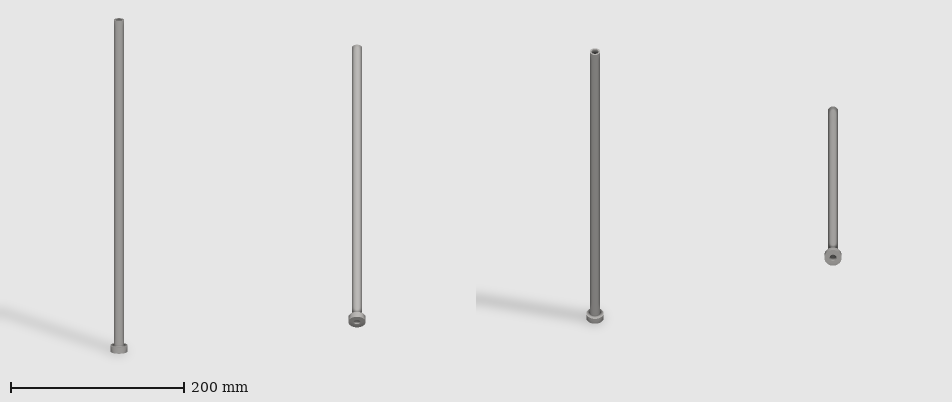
import cadquery as cq
import math

total_length = 400.0
head_diameter = 20.0
head_height = 7.0

tube_diameter = 12.0
bore_diameter = 8.0
root_fillet_radius = 1.0


def make_outer_body():
    """Headed tube, with a fillet where the tube meets the head."""
    head_radius = head_diameter / 2
    tube_radius = tube_diameter / 2
    fillet_top = head_height + root_fillet_radius
    fillet_center = (tube_radius + root_fillet_radius, fillet_top)
    fillet_middle_offset = root_fillet_radius * math.sqrt(0.5)
    profile = (
        cq.Workplane("XZ")
        .lineTo(head_radius, 0)
        .lineTo(head_radius, head_height)
        .lineTo(tube_radius + root_fillet_radius, head_height)
        .threePointArc(
            (fillet_center[0] - fillet_middle_offset, fillet_center[1] - fillet_middle_offset),
            (tube_radius, fillet_top),
        )
        .lineTo(tube_radius, total_length)
        .lineTo(0, total_length)
        .close()
    )
    return profile.revolve(360, (0, 0, 0), (0, 1, 0))


def make_bore():
    """Straight hole through the full length."""
    return cq.Workplane("XY").circle(bore_diameter / 2).extrude(total_length)


result = make_outer_body().cut(make_bore())